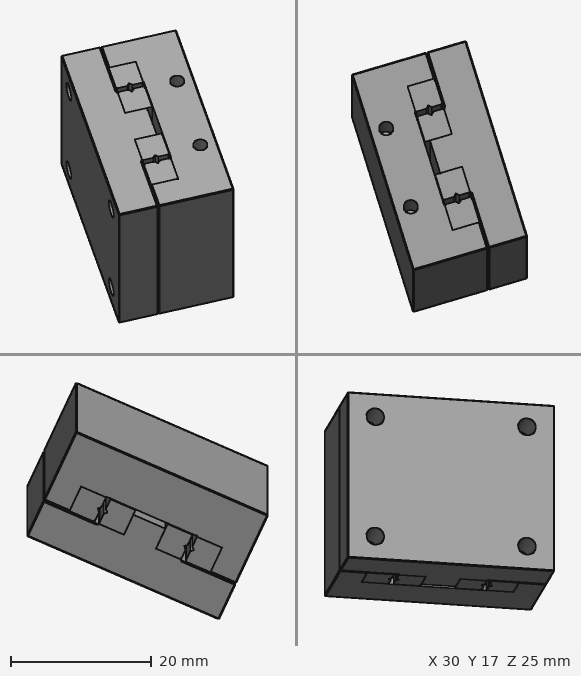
import cadquery as cq

width = 30.0
depth = 17.0
length = 25.0
edge_chamfer = 0.15

rail_width = 3.9
rail_height = 4.0
rail_pair_width = 8.5
rail_chamfer = 0.15
groove_depth = 0.4
groove_half_height = groove_depth
outer_rail_back_x = 11.0
outer_rail_face_x = outer_rail_back_x - rail_width
inner_rail_back_x = outer_rail_back_x - rail_pair_width
inner_rail_face_x = inner_rail_back_x + rail_width
rail_bottom_y = 5.9
rail_top_y = rail_bottom_y + rail_height

housing_bottom_y = 5.88
relief_top_y = 10.0
relief_half_width = 7.05
end_hole_diameter = 2.0
end_hole_depth = 6.0
end_hole_x = 6.0
end_hole_y = 14.6

housing_gap = 0.1
ledge_y = housing_bottom_y - housing_gap
ledge_chamfer_end_x = 6.6
tongue_top_y = 9.15
plate_core_y = ledge_y / 2
plate_hole_diameter = 2.55
plate_hole_x = 11.0
plate_hole_end_offset = 3.5


def centred_bar(half_width, y_min, y_max):
    """Rectangular bar centred on X = 0 and running the full length along Z."""
    bar = cq.Workplane("XY").box(2 * half_width, y_max - y_min, length, centered=(True, False, False))
    return bar.translate((0, y_min, 0))


def make_carriage():
    body = centred_bar(width / 2, 0, ledge_y).edges().chamfer(edge_chamfer)

    body = body.union(centred_bar(ledge_chamfer_end_x, plate_core_y, ledge_y))
    body = body.union(centred_bar(inner_rail_face_x, plate_core_y, rail_bottom_y))
    body = body.union(centred_bar(inner_rail_back_x, plate_core_y, tongue_top_y))

    hole_points = [
        (x, z)
        for x in (-plate_hole_x, plate_hole_x)
        for z in (plate_hole_end_offset, length - plate_hole_end_offset)
    ]
    holes = (
        cq.Workplane("XZ")
        .pushPoints(hole_points)
        .circle(plate_hole_diameter / 2)
        .extrude(-ledge_y)
    )
    return body.cut(holes)


def make_housing():
    body = centred_bar(width / 2, housing_bottom_y, depth).edges().chamfer(edge_chamfer)

    body = body.cut(centred_bar(outer_rail_back_x, 0, rail_top_y))
    body = body.cut(centred_bar(relief_half_width, 0, relief_top_y))

    end_holes = (
        cq.Workplane("XY", origin=(0, 0, length))
        .pushPoints([(-end_hole_x, end_hole_y), (end_hole_x, end_hole_y)])
        .circle(end_hole_diameter / 2)
        .extrude(-end_hole_depth)
    )
    return body.cut(end_holes)


def make_rail(back_x, face_x):
    """Rail with a flat back and a chamfered face that carries a V groove at mid height."""
    into_rail = 1 if back_x > face_x else -1
    middle_y = (rail_bottom_y + rail_top_y) / 2
    chamfer_x = face_x + into_rail * rail_chamfer
    groove_bottom_x = face_x + into_rail * groove_depth
    return (
        cq.Workplane("XY")
        .moveTo(back_x, rail_bottom_y)
        .lineTo(chamfer_x, rail_bottom_y)
        .lineTo(face_x, rail_bottom_y + rail_chamfer)
        .lineTo(face_x, middle_y - groove_half_height)
        .lineTo(groove_bottom_x, middle_y)
        .lineTo(face_x, middle_y + groove_half_height)
        .lineTo(face_x, rail_top_y - rail_chamfer)
        .lineTo(chamfer_x, rail_top_y)
        .lineTo(back_x, rail_top_y)
        .close()
        .extrude(length)
    )


carriage = make_carriage()
housing = make_housing()
outer_rails = [make_rail(side * outer_rail_back_x, side * outer_rail_face_x) for side in (-1, 1)]
inner_rails = [make_rail(side * inner_rail_back_x, side * inner_rail_face_x) for side in (-1, 1)]

result = cq.Compound.makeCompound(
    [carriage.val(), housing.val()] + [rail.val() for rail in outer_rails + inner_rails]
)